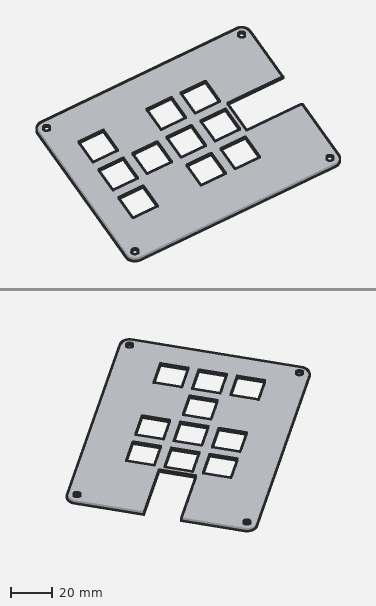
import cadquery as cq

width = 94.4
length = 119.2
thickness = 1.5
corner_radius = 5.0
edge_radius = 1.4

screw_hole_diameter = 3.5

key_size = 14.0
key_pitch = 19.1
key_column_x = -1.3
top_row_y = 18.7
key_columns_by_row = [(-1, 0, 1), (-1, 0, 1), (0,), (-1, 0, 1)]

notch_x = -1.4
notch_width = 18.5
notch_bottom_y = 28.1


def make_plate():
    plate = cq.Workplane("XY").box(width, length, thickness, centered=(True, True, False))
    plate = plate.edges("|Z").fillet(corner_radius)
    return plate.faces(">Z").edges().fillet(edge_radius)


def cut_screw_holes(body):
    return (
        body.faces("<Z").workplane()
        .rect(width - 2 * corner_radius, length - 2 * corner_radius, forConstruction=True)
        .vertices()
        .hole(screw_hole_diameter)
    )


def cut_key_openings(body):
    centers = [
        (key_column_x + column * key_pitch, top_row_y - row * key_pitch)
        for row, columns in enumerate(key_columns_by_row)
        for column in columns
    ]
    openings = cq.Workplane("XY").pushPoints(centers).rect(key_size, key_size).extrude(thickness)
    return body.cut(openings)


def cut_notch(body):
    notch_depth = length / 2 - notch_bottom_y
    notch = (
        cq.Workplane("XY")
        .center(notch_x, notch_bottom_y + notch_depth / 2)
        .rect(notch_width, notch_depth)
        .extrude(thickness)
    )
    return body.cut(notch)


result = cut_notch(cut_key_openings(cut_screw_holes(make_plate())))